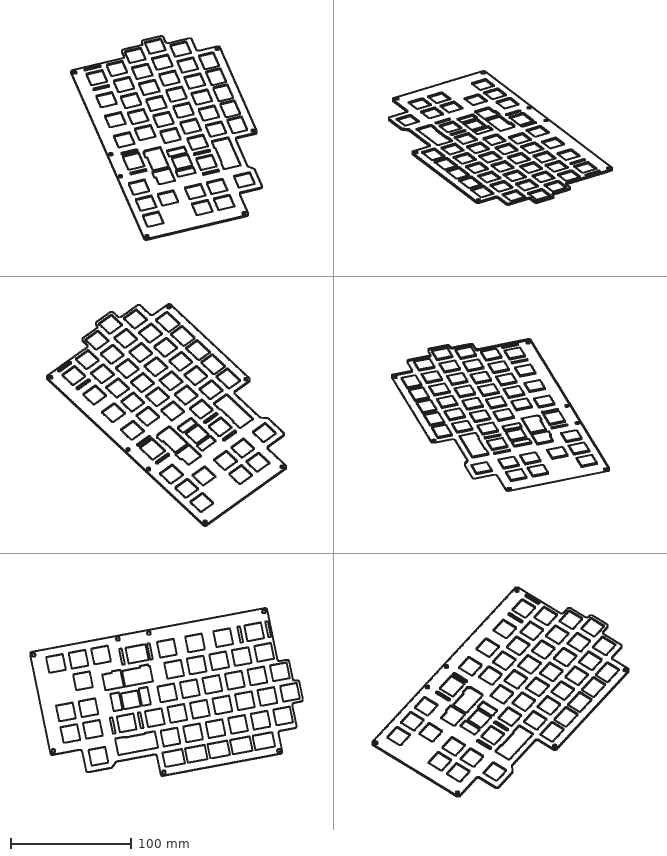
import cadquery as cq


length = 214.8
depth = 126.3
thickness = 1.6
outer_radius = 2.0
screw_diameter = 3.0
screw_inset = 2.8

ten_key_span = 190.5
pitch = ten_key_span / 10
switch_size = 14.0
window_radius = 0.54
first_key_x = 9.5
front_row_y = 18.5
side_border = 2.4
front_border = 2.1

front_left_x = 14.2
ledge_above_row = 2.5
rear_ledge_above_row = 5.2
tab_left_x = 25.5
tab_right_x = 128.5
block_slope_start_x = 162.5
block_slope_rise = 4.5
block_right_x = 188.5
right_shoulder_y = 90.8

encoder_width = 16.5
encoder_depth = 12.7
encoder_count = 5
encoder_y = 113.0
tab_middle_x = (tab_left_x + tab_right_x) / 2

stabilizer_offset = 11.8
slot_width = 2.1
enter_stabilizer_width = 7.3
enter_stabilizer_depth = 15.2
enter_stabilizer_offset = 12.0

space_left_x = 119.2
space_right_x = 136.0
backspace_left_x = 126.0
backspace_right_x = 159.5
backspace_foot_width = 8.5
backspace_foot_drop = 0.6
shift_left_span = (119.2, 142.5)
shift_left_foot = (120.5, 127.4)
shift_right_span = (143.9, 159.4)
shift_right_foot = (143.9, 151.2)
shift_foot_drop = 1.3

front_screw_xs = [17.2, 114.5, 140.7, length - screw_inset]
tab_screw_xs = [28.1, 125.5]
right_screw_y = 87.6

space_row = 0
shift_row = 1
enter_row = 2
backspace_row = 4
enter_column = 6.875

row_columns = {
    0: [1, 2.375, 3.625, 4.875],
    1: [0.75, 1.75, 2.75, 3.75, 4.75],
    2: [0.25, 1.25, 2.25, 3.25, 4.25, 5.25, enter_column, 8.75, 9.75],
    3: [0, 1, 2, 3, 4, 5, 6, 7.25, 8.75, 9.75],
    4: [0.5, 1.5, 2.5, 3.5, 4.5, 5.5],
}
quarter_row_columns = {
    -0.25: [7.75, 8.75, 9.75],
    0.75: [8.75],
    4.25: [8.75],
}
slotted_keys = [(1, 0), (6.25, 0), (7.25, 3)]


def column_x(column):
    return first_key_x + column * pitch


def row_y(row):
    return front_row_y + row * pitch


def through_windows(centers, width, height):
    """Round-cornered rectangular cutters at the given centers."""
    cutters = cq.Workplane("XY").pushPoints(centers).rect(width, height).extrude(thickness)
    return cutters.edges("|Z").fillet(window_radius)


def span_window(left, right, front, back):
    """One rectangular cutter given by its four sides."""
    center = ((left + right) / 2, (front + back) / 2)
    return through_windows([center], right - left, back - front)


def footed_window(span, row, feet, foot_drop):
    """Switch-high cutter whose front side drops by foot_drop over each (left, right) foot."""
    front = row_y(row) - switch_size / 2
    cutter = span_window(*span, front, front + switch_size)
    for foot_left, foot_right in feet:
        foot = span_window(foot_left, foot_right, front - foot_drop, row_y(row))
        cutter = cutter.union(foot)
    return cutter


def plate_blank():
    half_key = switch_size / 2
    row_4_left = column_x(row_columns[4][0]) - half_key - side_border
    row_2_left = column_x(row_columns[2][0]) - half_key - side_border
    rear_ledge = row_y(4) + half_key + rear_ledge_above_row
    row_3_rear = row_y(3) + half_key + ledge_above_row
    row_3_front = row_y(3) - half_key - front_border
    row_2_front = row_y(2) - half_key - front_border
    points = [
        (front_left_x, 0),
        (length, 0),
        (length, right_shoulder_y),
        (block_right_x, right_shoulder_y),
        (block_right_x, rear_ledge + block_slope_rise),
        (block_slope_start_x + block_slope_rise, rear_ledge + block_slope_rise),
        (block_slope_start_x, rear_ledge),
        (tab_right_x, rear_ledge),
        (tab_right_x, depth),
        (tab_left_x, depth),
        (tab_left_x, rear_ledge),
        (row_4_left, rear_ledge),
        (row_4_left, row_3_rear),
        (0, row_3_rear),
        (0, row_3_front),
        (row_2_left, row_3_front),
        (row_2_left, row_2_front),
        (front_left_x, row_2_front),
    ]
    blank = cq.Workplane("XY").polyline(points).close().extrude(thickness)
    return blank.edges("|Z").fillet(outer_radius)


def switch_windows():
    rows = {**row_columns, **quarter_row_columns}
    centers = [(column_x(column), row_y(row)) for row, columns in rows.items() for column in columns]
    return through_windows(centers, switch_size, switch_size)


def encoder_windows():
    middle = (encoder_count - 1) / 2
    centers = [(tab_middle_x + (i - middle) * pitch, encoder_y) for i in range(encoder_count)]
    return through_windows(centers, encoder_width, encoder_depth)


def stabilizer_slots():
    centers = [
        (column_x(column) + side * stabilizer_offset, row_y(row))
        for column, row in slotted_keys
        for side in (-1, 1)
    ]
    return through_windows(centers, slot_width, switch_size)


def wide_space_window():
    front = row_y(space_row) - switch_size / 2
    return span_window(space_left_x, space_right_x, front, front + switch_size)


def enter_stabilizer_windows():
    """Two tall windows beside the enter switch, level with its rear side."""
    back = row_y(enter_row) + switch_size / 2
    center_y = back - enter_stabilizer_depth / 2
    centers = [(column_x(enter_column) + side * enter_stabilizer_offset, center_y) for side in (-1, 1)]
    return through_windows(centers, enter_stabilizer_width, enter_stabilizer_depth)


def backspace_window():
    left_foot = (backspace_left_x, backspace_left_x + backspace_foot_width)
    right_foot = (backspace_right_x - backspace_foot_width, backspace_right_x)
    span = (backspace_left_x, backspace_right_x)
    return footed_window(span, backspace_row, [left_foot, right_foot], backspace_foot_drop)


def shift_windows():
    left = footed_window(shift_left_span, shift_row, [shift_left_foot], shift_foot_drop)
    right = footed_window(shift_right_span, shift_row, [shift_right_foot], shift_foot_drop)
    return left.union(right)


def screw_holes():
    centers = [(x, screw_inset) for x in front_screw_xs]
    centers += [(x, depth - screw_inset) for x in tab_screw_xs]
    centers.append((length - screw_inset, right_screw_y))
    return cq.Workplane("XY").pushPoints(centers).circle(screw_diameter / 2).extrude(thickness)


cutters = [
    switch_windows(),
    encoder_windows(),
    stabilizer_slots(),
    wide_space_window(),
    enter_stabilizer_windows(),
    backspace_window(),
    shift_windows(),
    screw_holes(),
]

result = plate_blank()
for cutter in cutters:
    result = result.cut(cutter)